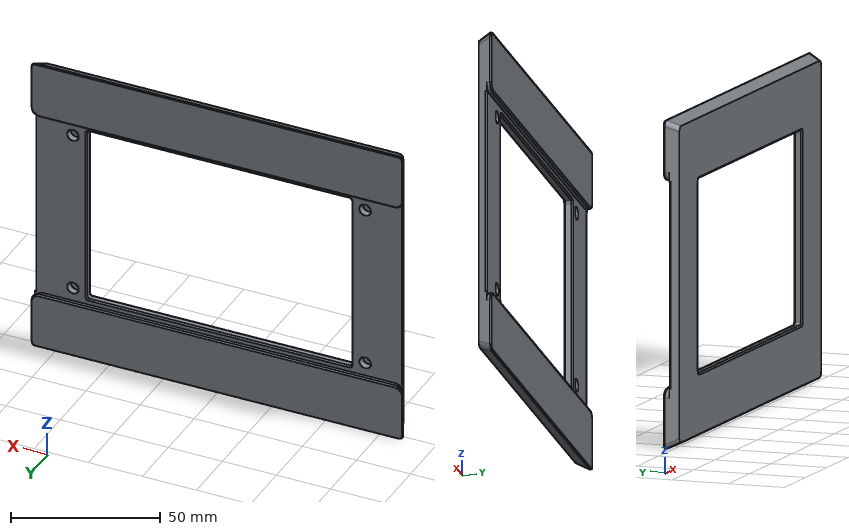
import cadquery as cq
import math

WIDTH = 137.5
HEIGHT = 111.5
THICKNESS = 5.0
EDGE_DRAFT = 24.5
CORNER_RADIUS = 2.0
BACK_CHAMFER = 0.5

WINDOW_WIDTH = 97.9
WINDOW_HEIGHT = 66.0
WINDOW_RADIUS = 1.0
WINDOW_CHAMFER = 0.5

CHANNEL_HEIGHT = 70.1
CHANNEL_DEPTH = 1.8
CHANNEL_MOUTH_RADIUS = 3.0

PIN_DIAMETER = 4.3
PIN_SPACING_X = 108.1
PIN_SPACING_Z = 60.2
PIN_FLOOR = 0.4

FRONT_Y = -THICKNESS / 2
BACK_Y = THICKNESS / 2
CHANNEL_FLOOR_Y = BACK_Y - CHANNEL_DEPTH
FLOOR_THICKNESS = THICKNESS - CHANNEL_DEPTH

OVERSIZE = 2 * WIDTH


def backward_from(y):
    """Sketch plane parallel to XZ at the given Y, extruding towards the back."""
    return cq.Workplane("XZ", origin=(0, y, 0)).transformed(rotate=(0, 180, 0))


def forward_from(y):
    """Sketch plane parallel to XZ at the given Y, extruding towards the front."""
    return cq.Workplane("XZ", origin=(0, y, 0))


def make_blank():
    """Solid plate with four sloping edges and rounded corners."""
    trim = BACK_CHAMFER * math.sin(math.radians(EDGE_DRAFT))
    return (
        forward_from(BACK_Y)
        .rect(WIDTH + 2 * trim, HEIGHT + 2 * trim)
        .extrude(THICKNESS, taper=EDGE_DRAFT)
        .edges("not(#Y)")
        .fillet(CORNER_RADIUS)
    )


def make_front_layer(blank):
    """Full outline in front of the channel floor, chamfered at both ends of the channel."""
    layer_block = backward_from(FRONT_Y).rect(OVERSIZE, OVERSIZE).extrude(FLOOR_THICKNESS)
    channel_block = backward_from(FRONT_Y).rect(OVERSIZE, CHANNEL_HEIGHT).extrude(FLOOR_THICKNESS)
    layer = blank.intersect(layer_block)
    bridge = layer.intersect(channel_block).faces(">Y").edges("|Z").chamfer(BACK_CHAMFER)
    return layer.cut(channel_block).union(bridge)


def make_top_rail(blank):
    """Raised rail above the channel, rounded at the channel mouths and chamfered at the back."""
    rail_block = (
        backward_from(CHANNEL_FLOOR_Y)
        .center(0, (CHANNEL_HEIGHT + OVERSIZE) / 2)
        .rect(OVERSIZE, OVERSIZE)
        .extrude(CHANNEL_DEPTH)
    )
    return (
        blank.intersect(rail_block)
        .faces("<Z")
        .edges("not(|X)")
        .fillet(CHANNEL_MOUTH_RADIUS)
        .faces(">Y")
        .edges()
        .chamfer(BACK_CHAMFER)
    )


def window_prism(plane, depth, growth=0.0, taper=0.0):
    """Rounded window outline, enlarged by growth on every side, extruded from the plane."""
    outline = (
        cq.Sketch()
        .rect(WINDOW_WIDTH + 2 * growth, WINDOW_HEIGHT + 2 * growth)
        .vertices()
        .fillet(WINDOW_RADIUS + growth)
    )
    return plane.placeSketch(outline).extrude(depth, taper=taper)


def make_window():
    """Window opening that flares at 45 degrees to the front face and to the channel floor."""
    opening = window_prism(backward_from(FRONT_Y), FLOOR_THICKNESS)
    front_flare = window_prism(backward_from(FRONT_Y), WINDOW_CHAMFER, WINDOW_CHAMFER, 45)
    back_flare = window_prism(forward_from(CHANNEL_FLOOR_Y), BACK_CHAMFER, BACK_CHAMFER, 45)
    return opening.union(front_flare).union(back_flare)


def make_pin_holes():
    """Four blind holes, open to the channel."""
    return (
        backward_from(FRONT_Y + PIN_FLOOR)
        .rect(PIN_SPACING_X, PIN_SPACING_Z, forConstruction=True)
        .vertices()
        .circle(PIN_DIAMETER / 2)
        .extrude(FLOOR_THICKNESS - PIN_FLOOR)
    )


blank = make_blank()
top_rail = make_top_rail(blank)
bottom_rail = top_rail.mirror("XY")
plate = make_front_layer(blank).union(top_rail).union(bottom_rail)
result = plate.cut(make_window()).cut(make_pin_holes()).solids()